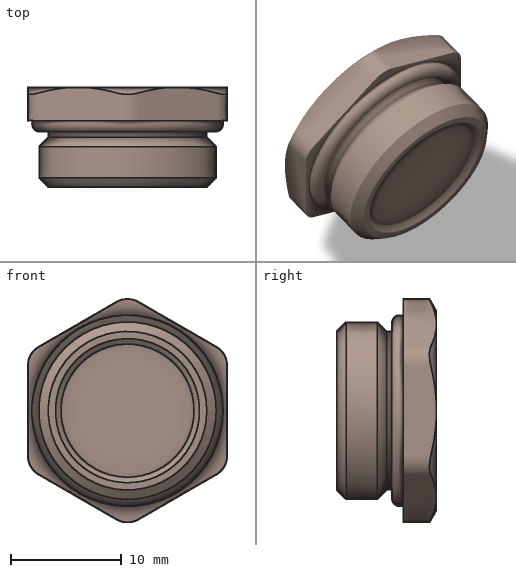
import cadquery as cq
import math


across_flats = 18.0
rounded_across_corners = 20.17
head_height = 3.0
head_chamfer_angle = 30

total_length = 9.0
thread_diameter = 16.0
neck_diameter = 14.3
neck_length = 1.5
thread_chamfer = (thread_diameter - neck_diameter) / 2
ring_diameter = 17.27
ring_protrusion = 1.0

recess_rim_diameter = 12.99
recess_floor_diameter = 12.0
recess_depth = (recess_rim_diameter - recess_floor_diameter) / 2


def revolve_about_y(profile):
    """Turn a closed (radius, Y) profile into a solid around the Y axis."""
    return profile.close().revolve(360, (0, 0, 0), (0, 1, 0))


def make_head():
    """Rounded hexagon with flats on +X and -X, its back corners cut by a cone."""
    flat_to_corner = 1 / math.cos(math.radians(30))
    across_corners = across_flats * flat_to_corner
    corner_radius = (across_corners - rounded_across_corners) / 2 / (flat_to_corner - 1)
    hexagon = (
        cq.Workplane("XZ")
        .transformed(rotate=(0, 0, 30))
        .polygon(6, across_corners)
        .extrude(-head_height)
        .edges("|Y")
        .fillet(corner_radius)
    )
    face_radius = across_flats / 2
    cone_slope = math.tan(math.radians(head_chamfer_angle))
    cone_base_radius = face_radius + head_height / cone_slope
    cone = revolve_about_y(
        cq.Workplane("XY")
        .moveTo(0, 0)
        .lineTo(cone_base_radius, 0)
        .lineTo(face_radius, head_height)
        .lineTo(0, head_height)
    )
    return hexagon.intersect(cone)


def make_stub():
    """Neck, chamfered thread and end recess, as one turned body."""
    thread_radius = thread_diameter / 2
    neck_radius = neck_diameter / 2
    end_y = head_height - total_length
    return revolve_about_y(
        cq.Workplane("XY")
        .moveTo(0, 0)
        .lineTo(neck_radius, 0)
        .lineTo(neck_radius, -neck_length)
        .lineTo(thread_radius, -neck_length - thread_chamfer)
        .lineTo(thread_radius, end_y + thread_chamfer)
        .lineTo(thread_radius - thread_chamfer, end_y)
        .lineTo(recess_rim_diameter / 2, end_y)
        .lineTo(recess_floor_diameter / 2, end_y + recess_depth)
        .lineTo(0, end_y + recess_depth)
    )


def make_ring():
    """O-ring that touches the neck and is partly sunk into the head."""
    section_radius = (ring_diameter - neck_diameter) / 4
    center_radius = neck_diameter / 2 + section_radius
    center_y = section_radius - ring_protrusion
    return (
        cq.Workplane("XY")
        .center(center_radius, center_y)
        .circle(section_radius)
        .revolve(360, (-center_radius, 0, 0), (-center_radius, 1, 0))
    )


result = make_head().union(make_stub()).union(make_ring())